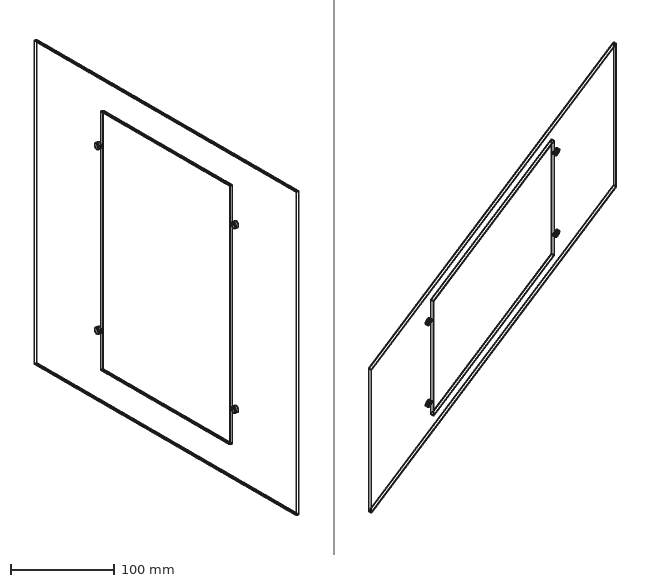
import cadquery as cq

plate_width = 419.0
plate_height = 350.0
plate_thickness = 3.0

window_width = 206.0
window_height = 280.0

hole_diameter = 7.0
hole_spacing_x = 218.5
hole_spacing_z = 200.0

plate = cq.Workplane("XZ").rect(plate_width, plate_height).extrude(plate_thickness / 2, both=True)

window = cq.Workplane("XZ").rect(window_width, window_height).extrude(plate_thickness, both=True)

mounting_holes = (
    cq.Workplane("XZ")
    .rect(hole_spacing_x, hole_spacing_z, forConstruction=True)
    .vertices()
    .circle(hole_diameter / 2)
    .extrude(plate_thickness, both=True)
)

result = plate.cut(window).cut(mounting_holes)